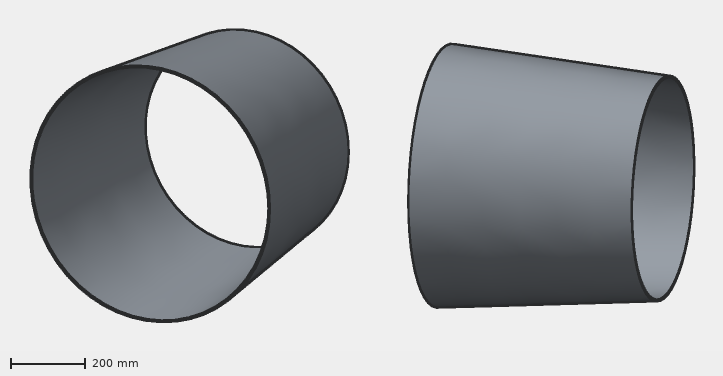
import cadquery as cq

large_diameter = 711.0
small_diameter = 608.0
length = 610.0
wall_thickness = 5.0

large_radius = large_diameter / 2
small_radius = small_diameter / 2
wide_end_y = -length / 2
narrow_end_y = length / 2

wall_section = [
    (large_radius - wall_thickness, wide_end_y),
    (large_radius, wide_end_y),
    (small_radius, narrow_end_y),
    (small_radius - wall_thickness, narrow_end_y),
]

result = cq.Workplane("XY").polyline(wall_section).close().revolve(360, (0, 0, 0), (0, 1, 0))